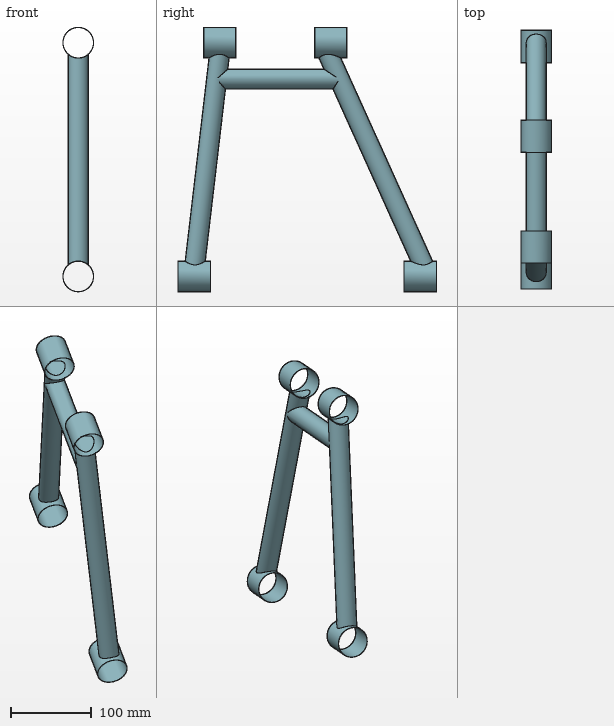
import cadquery as cq

height = 327.0
sleeve_diameter = 38.0
sleeve_wall = 0.15
top_sleeve_length = 40.0
bottom_sleeve_length = 40.5
sleeve_radius = sleeve_diameter / 2
top_axis_z = (height - sleeve_diameter) / 2
bottom_axis_z = -top_axis_z

bottom_spacing = 279.5
front_top_y = 31.7
rear_top_y = 168.7

bar_diameter = 25.0
bar_drop = 45.0
bar_z = top_axis_z - bar_drop

leg_top_z = top_axis_z - sleeve_radius
leg_bottom_z = bottom_axis_z + sleeve_radius
front_leg_bottom_y = 1.3
front_leg_top_y = 30.7
rear_leg_bottom_y = 281.2
rear_leg_top_y = 167.8


def rod(start, end, diameter):
    """Solid cylinder between two points given as (y, z) in the X = 0 plane."""
    origin = cq.Vector(0, *start)
    axis = cq.Vector(0, *end) - origin
    return cq.Workplane(obj=cq.Solid.makeCylinder(diameter / 2, axis.Length, origin, axis))


def point_on_line(start, end, z):
    """Point at height z on the line through two (y, z) points."""
    slope = (end[0] - start[0]) / (end[1] - start[1])
    return (start[0] + slope * (z - start[1]), z)


def sleeve_cylinder(sleeve, diameter):
    y, z, length = sleeve
    half_length = length / 2
    return rod((y - half_length, z), (y + half_length, z), diameter)


sleeves = [
    (0, bottom_axis_z, bottom_sleeve_length),
    (front_top_y, top_axis_z, top_sleeve_length),
    (bottom_spacing, bottom_axis_z, bottom_sleeve_length),
    (rear_top_y, top_axis_z, top_sleeve_length),
]
leg_lines = [
    ((front_leg_bottom_y, leg_bottom_z), (front_leg_top_y, leg_top_z)),
    ((rear_leg_bottom_y, leg_bottom_z), (rear_leg_top_y, leg_top_z)),
]

end_depth = sleeve_radius / 2
leg_axes = [
    (point_on_line(*line, leg_bottom_z - end_depth), point_on_line(*line, leg_top_z + end_depth))
    for line in leg_lines
]

bar_ends = [point_on_line(*line, bar_z) for line in leg_lines]
frame = rod(*bar_ends, bar_diameter)
for axis in leg_axes:
    frame = frame.union(rod(*axis, bar_diameter))

for sleeve in sleeves:
    frame = frame.union(sleeve_cylinder(sleeve, sleeve_diameter))
for sleeve in sleeves:
    frame = frame.cut(sleeve_cylinder(sleeve, sleeve_diameter - 2 * sleeve_wall))

result = cq.Workplane(obj=frame.solids().val())